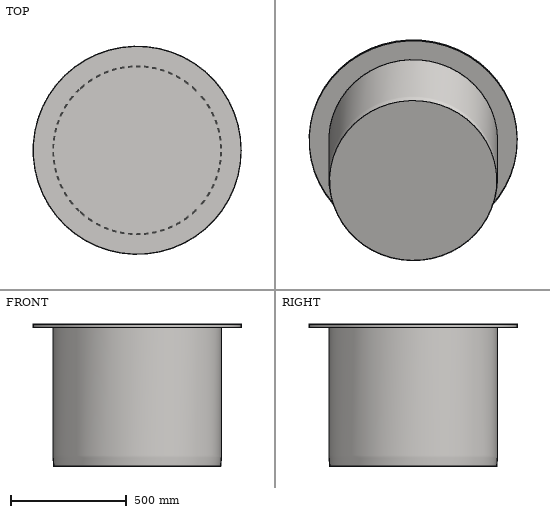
import cadquery as cq
import math

total_height = 615.0
lid_diameter = 900.0
lid_thickness = 14.0

drum_diameter = 730.0
taper_angle = math.radians(5)
foot_height = 37.0
blend_height = 9.0

drum_radius = drum_diameter / 2
drum_height = total_height - lid_thickness
blend_top = foot_height + blend_height

blend_radius = blend_height / math.sin(taper_angle)


def blend_point(angle):
    """Point (radius, height) on the blend arc, at an angle below its upper end."""
    inset = blend_radius * (1 - math.cos(angle))
    return drum_radius - inset, blend_top - blend_radius * math.sin(angle)


def make_drum():
    """Solid drum standing on its tapered foot at Z = 0."""
    foot_top = blend_point(taper_angle)
    foot_bottom_radius = foot_top[0] - foot_height * math.tan(taper_angle)
    return (
        cq.Workplane("XZ")
        .moveTo(0, 0)
        .lineTo(foot_bottom_radius, 0)
        .lineTo(*foot_top)
        .threePointArc(blend_point(taper_angle / 2), (drum_radius, blend_top))
        .lineTo(drum_radius, drum_height)
        .lineTo(0, drum_height)
        .close()
        .revolve(360, (0, 0, 0), (0, 1, 0))
    )


def make_lid():
    """Flat round lid resting on the top of the drum."""
    return (
        cq.Workplane("XY", origin=(0, 0, drum_height))
        .circle(lid_diameter / 2)
        .extrude(lid_thickness)
    )


drum = make_drum()
lid = make_lid()

result = cq.Compound.makeCompound([drum.val(), lid.val()])